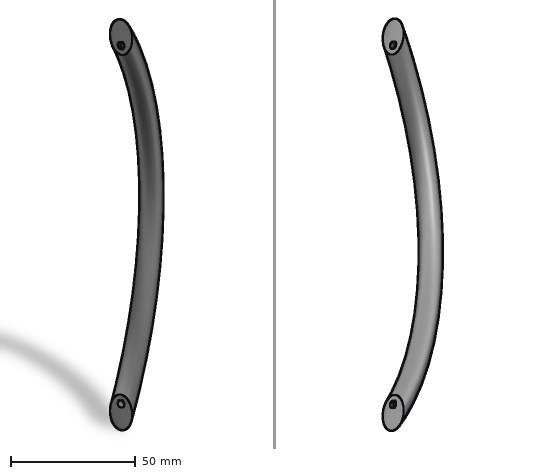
import cadquery as cq
import math

length = 183.5
height = 34.5
bar_diameter = 10.0
hole_diameter = 3.0
hole_spacing = 160.0
hole_depth = 3.0
hole_tilt = 25

outer_radius = ((length / 2) ** 2 + height ** 2) / (2 * height)
bend_radius = outer_radius - bar_diameter / 2
bend_center_y = height - outer_radius


def bent_bar():
    """Half ring of round bar in the YZ plane, trimmed at the mounting plane Y = 0."""
    half_ring = (
        cq.Workplane("XY", origin=(0, bend_center_y, 0))
        .center(0, bend_radius)
        .circle(bar_diameter / 2)
        .revolve(180, (0, -bend_radius), (1, -bend_radius))
        .rotate((0, bend_center_y, 0), (1, bend_center_y, 0), -90)
    )
    keep = cq.Workplane("XY").box(
        2 * bar_diameter, 2 * height, 2 * length, centered=(True, False, True)
    )
    return half_ring.intersect(keep)


def fixing_hole(side):
    """Flat-bottomed blind hole, leaning from the foot toward the middle of the handle."""
    tilt = math.radians(hole_tilt)
    inward = cq.Vector(0, math.cos(tilt), -side * math.sin(tilt))
    mouth = cq.Vector(0, 0, side * hole_spacing / 2)
    start = mouth - inward * hole_diameter
    drill = cq.Solid.makeCylinder(
        hole_diameter / 2, hole_depth + hole_diameter, start, inward
    )
    return cq.Workplane(obj=drill)


result = bent_bar()
for side in (-1, 1):
    result = result.cut(fixing_hole(side))